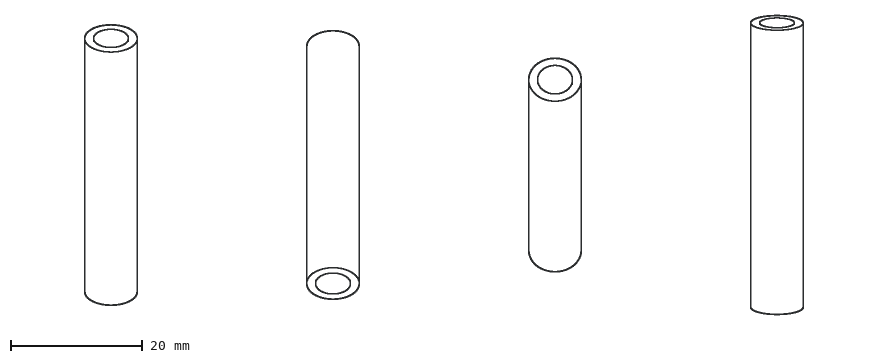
import cadquery as cq

length = 45.0
outer_diameter = 8.0
bore_diameter = 5.3

result = (
    cq.Workplane("XY")
    .circle(outer_diameter / 2)
    .circle(bore_diameter / 2)
    .extrude(length)
)